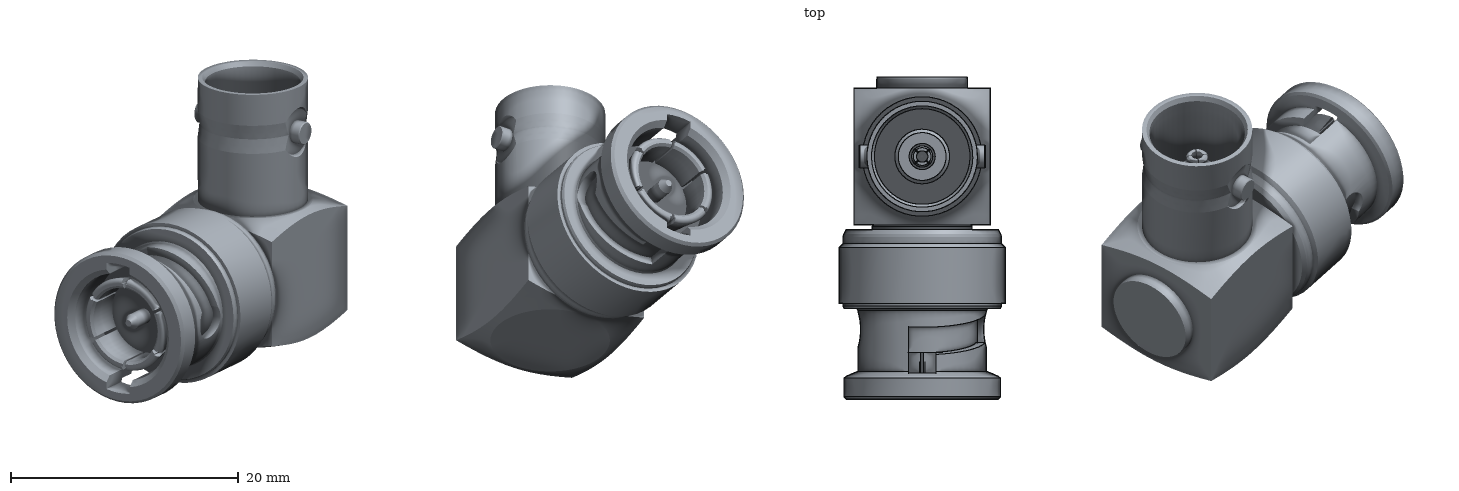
import cadquery as cq
import math


BODY_SIZE = 12.0
BODY_HALF = BODY_SIZE / 2
BODY_FLAT_RADIUS = 5.25
BODY_CONE_ANGLE = math.radians(20)
BODY_CORNER_RADIUS = BODY_HALF * math.sqrt(2)

CAP_RADIUS = 4.0
CAP_END_Y = 7.0
CAP_TAPER_LENGTH = 0.23
CAP_TAPER = 0.05

JACK_TOP_Z = 17.3
JACK_RADIUS = 4.85
JACK_BORE_RADIUS = 4.2
JACK_MOUTH_RADIUS = 4.45
JACK_MOUTH_DEPTH = 0.4
JACK_FLOOR_Z = 8.3
GROOVE_Z = 13.13
GROOVE_HALF_WIDTH = 1.3
GROOVE_ROOT_RADIUS = 4.7

PIN_RADIUS = 1.02
PIN_REACH = 5.55
PIN_CHAMFER = 0.07
SPOT_PLANE_X = 4.55
SPOT_FLOOR_RADIUS = 2.06
SPOT_RIM_RADIUS = 2.25

DIELECTRIC_RADIUS = 2.4
DIELECTRIC_TOP_Z = 12.0
DIELECTRIC_CHAMFER = 0.3
RECESS_RADIUS = 1.15
RECESS_DEPTH = 1.0
SOCKET_RADIUS = 0.93
SOCKET_TOP_Z = 14.3
SOCKET_CHAMFER = 0.15
SOCKET_BORE_RADIUS = 0.5
SOCKET_BORE_DEPTH = 3.0
SOCKET_SLIT_WIDTH = 0.1
SOCKET_SLIT_DEPTH = 1.5
SOCKET_SLIT_COUNT = 4

NECK_RADIUS = 4.4
NECK_CHAMFER = 0.15
NUT_RADIUS = 7.3
NUT_SHOULDER_RADIUS = 6.97
NUT_REAR_Y = -6.43
NUT_REAR_RADIUS = 6.7
NUT_REAR_CHAMFER_Y = -6.85
NUT_REAR_CHAMFER_RADIUS = 6.92
NUT_GROOVE_Y = -7.1
NUT_STEP_Y = -7.65
NUT_BAND_START_Y = -7.98
NUT_BAND_END_Y = -12.9
NUT_END_CHAMFER_Y = -13.15
NUT_FRONT_Y = -13.37
NUT_FRONT_RADIUS = 6.87
SLEEVE_COLLAR_RADIUS = 5.75
SLEEVE_COLLAR_END_Y = -13.55
SLEEVE_RADIUS = 5.65
FLANGE_START_Y = -18.9
FLANGE_START_RADIUS = 5.72
FLANGE_CONE_END_Y = -19.3
FLANGE_CONE_END_RADIUS = 6.67
FLANGE_RIM_Y = -19.48
FLANGE_RADIUS = 6.9
FLANGE_CHAMFER = 0.25
PLUG_END_Y = -21.35

PLUG_BORE_RADIUS = 4.87
PLUG_MOUTH_CHAMFER = 0.5
PLUG_FLOOR_Y = -17.2

COLLET_ROOT_RADIUS = 3.65
COLLET_RADIUS = 4.22
COLLET_BORE_RADIUS = 3.37
COLLET_END_Y = -20.4
COLLET_ROUND = 0.4
COLLET_MOUTH_CHAMFER = 0.22
COLLET_SLIT_WIDTH = 0.26
COLLET_WIDE_SLIT_WIDTH = 0.5
COLLET_SLIT_COUNT = 6

CENTRE_PIN_RADIUS = 0.68
CENTRE_PIN_TIP_RADIUS = 0.3
CENTRE_PIN_TIP_LENGTH = 0.6
CENTRE_PIN_END_Y = -19.7

KEYWAY_HALF_WIDTH = 1.22
KEYWAY_RADIUS = 5.97
LOCK_HOLE_RADIUS = 1.6
LOCK_HOLE_Y = -15.2
CHANNEL_REAR_ENTRY_Y = -15.0
CHANNEL_REAR_LOCK_Y = -13.68
CHANNEL_FRONT_LOCK_Y = -16.1

MARGIN = 1.0


def revolve_about_y(points):
    """Turn (radius, y) points about the plug axis."""
    return cq.Workplane("XY").polyline(points).close().revolve(360, (0, 0, 0), (0, 1, 0))


def revolve_about_z(points):
    """Turn (radius, z) points about the jack axis."""
    return cq.Workplane("YZ").polyline(points).close().revolve(360, (0, 0, 0), (0, 1, 0))


def y_cylinder(radius, start_y, end_y):
    """Cylinder on the plug axis running from start_y toward -Y."""
    return cq.Workplane("XZ", origin=(0, start_y, 0)).circle(radius).extrude(start_y - end_y)


def z_cylinder(radius, start_z, end_z):
    """Cylinder on the jack axis running from start_z up to end_z."""
    return cq.Workplane("XY", origin=(0, 0, start_z)).circle(radius).extrude(end_z - start_z)


def make_body():
    """Cube whose top and bottom corners are turned down to a shallow cone."""
    cube = cq.Workplane("XY").box(BODY_SIZE, BODY_SIZE, BODY_SIZE)
    turned_radius = BODY_CORNER_RADIUS + MARGIN
    drop = (turned_radius - BODY_FLAT_RADIUS) * math.tan(BODY_CONE_ANGLE)
    edge_z = BODY_HALF - drop
    turned = revolve_about_z([
        (0, BODY_HALF),
        (BODY_FLAT_RADIUS, BODY_HALF),
        (turned_radius, edge_z),
        (turned_radius, -edge_z),
        (BODY_FLAT_RADIUS, -BODY_HALF),
        (0, -BODY_HALF),
    ])
    return cube.intersect(turned)


def make_cap():
    """Round cap with a slight taper at its rim."""
    return revolve_about_y([
        (0, 0),
        (CAP_RADIUS, 0),
        (CAP_RADIUS, CAP_END_Y - CAP_TAPER_LENGTH),
        (CAP_RADIUS - CAP_TAPER, CAP_END_Y),
        (0, CAP_END_Y),
    ])


def make_jack_barrel():
    """Bored barrel with a V groove level with the bayonet pins."""
    return revolve_about_z([
        (0, 0),
        (JACK_RADIUS, 0),
        (JACK_RADIUS, GROOVE_Z - GROOVE_HALF_WIDTH),
        (GROOVE_ROOT_RADIUS, GROOVE_Z),
        (JACK_RADIUS, GROOVE_Z + GROOVE_HALF_WIDTH),
        (JACK_RADIUS, JACK_TOP_Z),
        (JACK_MOUTH_RADIUS, JACK_TOP_Z),
        (JACK_BORE_RADIUS, JACK_TOP_Z - JACK_MOUTH_DEPTH),
        (JACK_BORE_RADIUS, JACK_FLOOR_Z),
        (0, JACK_FLOOR_Z),
    ])


def make_bayonet_pin(side):
    """Pin on the +X (side = 1) or -X (side = -1) wall of the jack barrel."""
    root_x = (JACK_BORE_RADIUS + SPOT_PLANE_X) / 2
    plane = cq.Plane(origin=(side * root_x, 0, GROOVE_Z), xDir=(0, 1, 0), normal=(side, 0, 0))
    pin = cq.Workplane(plane).circle(PIN_RADIUS).extrude(PIN_REACH - root_x)
    return pin.faces(">X" if side > 0 else "<X").chamfer(PIN_CHAMFER)


def make_spot_face(side):
    """Conical cutter that leaves a flat pad around a bayonet pin."""
    flare = (SPOT_RIM_RADIUS - SPOT_FLOOR_RADIUS) / (JACK_RADIUS - SPOT_PLANE_X)
    mouth_radius = SPOT_FLOOR_RADIUS + MARGIN * flare
    plane = cq.Plane(origin=(side * SPOT_PLANE_X, 0, GROOVE_Z), xDir=(0, 1, 0), normal=(side, 0, 0))
    cutter = cq.Workplane(plane).circle(SPOT_FLOOR_RADIUS)
    return cutter.workplane(offset=MARGIN).circle(mouth_radius).loft()


def make_jack_contact():
    """Dielectric with a recessed, slit socket contact standing in it."""
    dielectric = z_cylinder(DIELECTRIC_RADIUS, JACK_FLOOR_Z, DIELECTRIC_TOP_Z)
    dielectric = dielectric.faces(">Z").chamfer(DIELECTRIC_CHAMFER)
    recess_z = DIELECTRIC_TOP_Z - RECESS_DEPTH
    dielectric = dielectric.cut(z_cylinder(RECESS_RADIUS, recess_z, DIELECTRIC_TOP_Z))

    socket = z_cylinder(SOCKET_RADIUS, JACK_FLOOR_Z, SOCKET_TOP_Z)
    socket = socket.faces(">Z").chamfer(SOCKET_CHAMFER)
    socket = socket.cut(z_cylinder(SOCKET_BORE_RADIUS, SOCKET_TOP_Z - SOCKET_BORE_DEPTH, SOCKET_TOP_Z))
    slit_pitch = 360 / SOCKET_SLIT_COUNT
    for index in range(SOCKET_SLIT_COUNT):
        slit = cq.Workplane("XY", origin=(0, 0, SOCKET_TOP_Z - SOCKET_SLIT_DEPTH)).box(
            SOCKET_RADIUS + MARGIN, SOCKET_SLIT_WIDTH, SOCKET_SLIT_DEPTH, centered=(False, True, False))
        socket = socket.cut(slit.rotate((0, 0, 0), (0, 0, 1), (index + 0.5) * slit_pitch))
    return dielectric.union(socket)


def make_plug_shell():
    """Neck, coupling nut, sleeve and flange with the stepped cavity."""
    return revolve_about_y([
        (0, 0),
        (NECK_RADIUS - NECK_CHAMFER, 0),
        (NECK_RADIUS - NECK_CHAMFER, -BODY_HALF),
        (NECK_RADIUS, -BODY_HALF - NECK_CHAMFER),
        (NECK_RADIUS, NUT_REAR_Y),
        (NUT_REAR_RADIUS, NUT_REAR_Y),
        (NUT_REAR_CHAMFER_RADIUS, NUT_REAR_CHAMFER_Y),
        (NUT_SHOULDER_RADIUS, NUT_GROOVE_Y),
        (NUT_SHOULDER_RADIUS, NUT_STEP_Y),
        (NUT_RADIUS, NUT_BAND_START_Y),
        (NUT_RADIUS, NUT_BAND_END_Y),
        (NUT_SHOULDER_RADIUS, NUT_BAND_END_Y),
        (NUT_SHOULDER_RADIUS, NUT_END_CHAMFER_Y),
        (NUT_FRONT_RADIUS, NUT_FRONT_Y),
        (SLEEVE_COLLAR_RADIUS, NUT_FRONT_Y),
        (SLEEVE_RADIUS, SLEEVE_COLLAR_END_Y),
        (SLEEVE_RADIUS, FLANGE_START_Y),
        (FLANGE_START_RADIUS, FLANGE_START_Y),
        (FLANGE_CONE_END_RADIUS, FLANGE_CONE_END_Y),
        (FLANGE_RADIUS, FLANGE_RIM_Y),
        (FLANGE_RADIUS, PLUG_END_Y + FLANGE_CHAMFER),
        (FLANGE_RADIUS - FLANGE_CHAMFER, PLUG_END_Y),
        (PLUG_BORE_RADIUS + PLUG_MOUTH_CHAMFER, PLUG_END_Y),
        (PLUG_BORE_RADIUS, PLUG_END_Y + PLUG_MOUTH_CHAMFER),
        (PLUG_BORE_RADIUS, PLUG_FLOOR_Y),
        (0, PLUG_FLOOR_Y),
    ])


def make_keyways():
    """Two opposed entry slots from the flange face back to the cavity floor."""
    block = cq.Workplane("XY").box(
        2 * KEYWAY_HALF_WIDTH, PLUG_FLOOR_Y - PLUG_END_Y, 2 * KEYWAY_RADIUS)
    block = block.translate((0, (PLUG_FLOOR_Y + PLUG_END_Y) / 2, 0))
    return block.intersect(y_cylinder(KEYWAY_RADIUS, PLUG_FLOOR_Y, PLUG_END_Y))


def make_locking_channel():
    """Slanted channel from the lower keyway up to the lock hole on the -X side."""
    outer = SLEEVE_RADIUS + MARGIN
    slant = (CHANNEL_REAR_ENTRY_Y - CHANNEL_REAR_LOCK_Y) / SLEEVE_RADIUS
    run = outer * slant
    front_entry_y = CHANNEL_FRONT_LOCK_Y + run
    rear_entry_y = CHANNEL_REAR_LOCK_Y + run
    channel = cq.Workplane("YZ", origin=(KEYWAY_HALF_WIDTH, 0, 0)).polyline([
        (CHANNEL_REAR_LOCK_Y, 0),
        (CHANNEL_FRONT_LOCK_Y, 0),
        (front_entry_y, -outer),
        (rear_entry_y, -outer),
    ]).close().extrude(-KEYWAY_HALF_WIDTH - outer)
    lock_hole = cq.Workplane("YZ").center(LOCK_HOLE_Y, 0).circle(LOCK_HOLE_RADIUS).extrude(-outer)
    wall = y_cylinder(outer, NUT_FRONT_Y, FLANGE_START_Y)
    wall = wall.cut(y_cylinder(PLUG_BORE_RADIUS, NUT_FRONT_Y, FLANGE_START_Y))
    return channel.union(lock_hole).intersect(wall)


def collet_slit(width, inner_radius):
    """Radial slit cutter on the +Z side, open at the collet nose."""
    length = PLUG_FLOOR_Y - COLLET_END_Y
    height = COLLET_RADIUS + MARGIN - inner_radius
    slit = cq.Workplane("XY").box(width, length, height)
    return slit.translate((0, PLUG_FLOOR_Y - length / 2, inner_radius + height / 2))


def make_collet():
    """Flared, slit spring tube with a rounded nose, standing on the cavity floor."""
    nose_radius = COLLET_RADIUS - COLLET_ROUND
    arc_reach = COLLET_ROUND * math.sqrt(0.5)
    collet = (
        cq.Workplane("XY")
        .moveTo(COLLET_BORE_RADIUS, PLUG_FLOOR_Y + MARGIN)
        .lineTo(COLLET_ROOT_RADIUS, PLUG_FLOOR_Y + MARGIN)
        .lineTo(COLLET_ROOT_RADIUS, PLUG_FLOOR_Y)
        .lineTo(COLLET_RADIUS, COLLET_END_Y + COLLET_ROUND)
        .threePointArc(
            (nose_radius + arc_reach, COLLET_END_Y + COLLET_ROUND - arc_reach),
            (nose_radius, COLLET_END_Y))
        .lineTo(COLLET_BORE_RADIUS + COLLET_MOUTH_CHAMFER, COLLET_END_Y)
        .lineTo(COLLET_BORE_RADIUS, COLLET_END_Y + COLLET_MOUTH_CHAMFER)
        .close()
        .revolve(360, (0, 0, 0), (0, 1, 0))
    )
    slit = collet_slit(COLLET_SLIT_WIDTH, 0).union(collet_slit(COLLET_WIDE_SLIT_WIDTH, nose_radius))
    slit_pitch = 360 / COLLET_SLIT_COUNT
    for index in range(COLLET_SLIT_COUNT):
        collet = collet.cut(slit.rotate((0, 0, 0), (0, 1, 0), index * slit_pitch))
    return collet


def make_centre_pin():
    return revolve_about_y([
        (0, PLUG_FLOOR_Y + MARGIN),
        (CENTRE_PIN_RADIUS, PLUG_FLOOR_Y + MARGIN),
        (CENTRE_PIN_RADIUS, CENTRE_PIN_END_Y + CENTRE_PIN_TIP_LENGTH),
        (CENTRE_PIN_TIP_RADIUS, CENTRE_PIN_END_Y),
        (0, CENTRE_PIN_END_Y),
    ])


jack = make_jack_barrel()
for side in (1, -1):
    jack = jack.cut(make_spot_face(side)).union(make_bayonet_pin(side))
jack = jack.union(make_jack_contact())

locking_channel = make_locking_channel()
opposite_channel = locking_channel.rotate((0, 0, 0), (0, 1, 0), 180)
plug = make_plug_shell().cut(make_keyways())
plug = plug.cut(locking_channel).cut(opposite_channel)
plug = plug.union(make_collet()).union(make_centre_pin())

result = make_body().union(make_cap()).union(jack).union(plug)